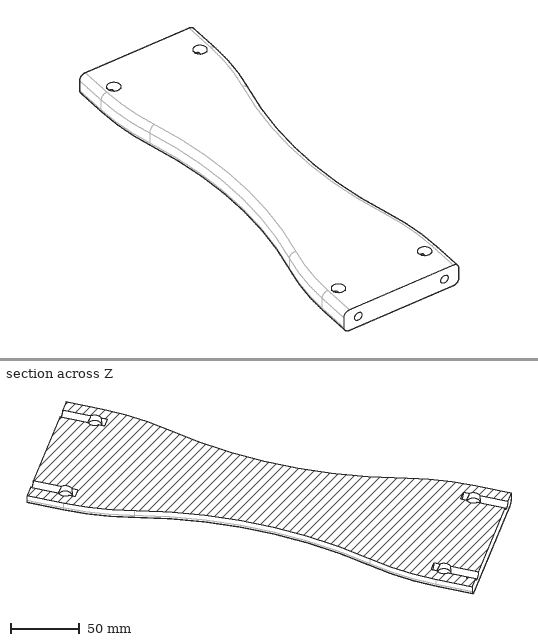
import cadquery as cq
import math

length = 336.5
end_width = 101.5
thickness = 19.2
edge_radius = 5.0

waist_width = 63.5
straight_length = 27.5
shoulder_length = 51.8

cross_hole_diameter = 10.5
cross_hole_depth = 14.8
end_bore_diameter = 6.7
end_bore_depth = 33.5
hole_end_distance = 25.2
hole_spacing = 76.0

half_length = length / 2
half_width = end_width / 2
half_waist = waist_width / 2
shoulder_start = half_length - straight_length
shoulder_end = shoulder_start - shoulder_length

half_slope_tangent = (half_width - half_waist) / shoulder_start
slope = 2 * math.atan(half_slope_tangent)
shoulder_radius = shoulder_length / math.sin(slope)
shoulder_end_y = half_width - shoulder_length * half_slope_tangent
shoulder_mid_x = shoulder_start - shoulder_radius * math.sin(slope / 2)
shoulder_mid_y = half_width - shoulder_radius * (1 - math.cos(slope / 2))


def add_side(outline, side):
    """Draw one long side; side is +1 for left to right at +Y, -1 for its return at -Y."""
    def point(x, y):
        return (side * x, side * y)

    return (
        outline.lineTo(*point(-shoulder_start, half_width))
        .threePointArc(point(-shoulder_mid_x, shoulder_mid_y), point(-shoulder_end, shoulder_end_y))
        .threePointArc(point(0, half_waist), point(shoulder_end, shoulder_end_y))
        .threePointArc(point(shoulder_mid_x, shoulder_mid_y), point(shoulder_start, half_width))
        .lineTo(*point(half_length, half_width))
    )


def make_plate():
    outline = cq.Workplane("XY").moveTo(-half_length, half_width)
    outline = add_side(outline, 1).lineTo(half_length, -half_width)
    outline = add_side(outline, -1).close()
    plate = outline.extrude(thickness)
    return plate.faces("|Z").edges("not(|Y)").fillet(edge_radius)


def make_cross_holes():
    return (
        cq.Workplane("XY", origin=(0, 0, thickness))
        .rarray(length - 2 * hole_end_distance, hole_spacing, 2, 2)
        .circle(cross_hole_diameter / 2)
        .extrude(-cross_hole_depth)
    )


def make_end_bores(end):
    """Bores from the end face at X = end * half_length through the cross holes."""
    return (
        cq.Workplane("YZ", origin=(end * half_length, 0, thickness / 2))
        .rarray(hole_spacing, 3.5, 2, 1)
        .circle(end_bore_diameter / 2)
        .extrude(-end * end_bore_depth)
    )


result = make_plate().cut(make_cross_holes())
for end in (-1, 1):
    result = result.cut(make_end_bores(end))